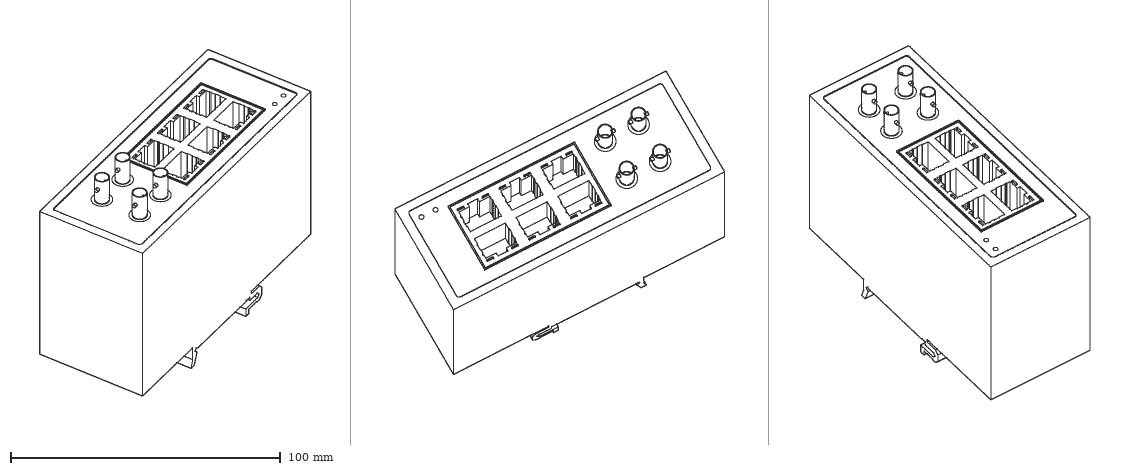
import cadquery as cq

length = 114.5
width = 45.6
height = 67.9

panel_width = 38.9
panel_length = 107.2
panel_thickness = 2.3
panel_recess = 0.5
panel_corner_radius = 1.1

block_width = 28.6
block_length = 53.5
block_centre_y = 12.7
rim_wall = 0.6
rim_rise = 0.3
block_depth = 18.3
socket_depth = 16.0
socket_rows = 3
socket_pitch = 17.6
socket_inner_x = 1.6
socket_outer_x = 10.4
socket_length = 13.0
key_outer_x = 11.8
key_length = 4.2
light_slot_width = 0.7
light_slot_length = 2.6
light_slot_depth = 1.1
guide_depth = 0.2
guide_spans_x = [(4.1, 6.4), (8.2, 8.9)]

connector_xs = [-7.5, 9.2]
connector_ys = [-24.2, -38.2]
boss_diameter = 8.0
barrel_diameter = 5.6
barrel_bore = 5.0
barrel_rise = 10.2
lug_diameter = 1.4
lug_span = boss_diameter
lug_rise = 6.3

lamp_x = 15.3
lamp_ys = [50.0, 44.1]
lamp_diameter = 1.8
lamp_height = 0.3

clip_depth = 9.4
neck_y = 17.0
hook_top_depth = 1.1
hook_bottom_depth = 7.7
hook_end_y = 23.8
hook_chamfer = 1.5
hook_step_y = 20.5
lip_bottom_depth = 7.3
foot_outer_y = 15.1
foot_inner_y = 12.9
slot_top_depth = 3.7
slot_bottom_depth = 5.8
slot_tip_y = 22.0
slot_shoulder_y = 21.1
slot_mouth_y = 15.8
seat_depth = 2.4
seat_step_y = 13.6
seat_step_depth = 2.2
tail_y = -23.1
tail_bend_depth = 5.6
tail_tip_depth = 9.0
tail_tip_inner_y = -22.0
tail_tip_outer_y = -24.3
relief_corners = [(-19.8, -seat_depth), (-20.5, -1.8), (-21.4, -2.9), (-20.2, -4.0)]

connector_places = [(x, y) for x in connector_xs for y in connector_ys]
barrel_top = height + barrel_rise
panel_top = height - panel_recess
panel_floor = panel_top - panel_thickness


def centred_box(size_x, size_y, z_bottom, z_top, centre_x=0.0, centre_y=0.0):
    return (
        cq.Workplane("XY")
        .box(size_x, size_y, z_top - z_bottom, centered=(True, True, False))
        .translate((centre_x, centre_y, z_bottom))
    )


def span_box(x_near, x_far, size_y, centre_y, depth):
    """A cutter between two x values, going down from the panel face."""
    return centred_box(x_far - x_near, size_y, panel_top - depth, panel_top, (x_near + x_far) / 2, centre_y)


def make_panel_blank(z_top):
    """Rounded plate from the recess floor up to z_top."""
    blank = centred_box(panel_width, panel_length, panel_floor, z_top)
    return blank.edges("|Z").fillet(panel_corner_radius)


def make_block_blank():
    """Block that fills the rectangular opening of the panel and stands just above it."""
    return centred_box(
        block_width,
        block_length,
        panel_top - block_depth,
        panel_top + rim_rise,
        centre_y=block_centre_y,
    )


def make_clip():
    """Hook, rail seat and bent tail as one profile across the full width."""
    hook = [
        (neck_y, 0.0),
        (neck_y, -hook_top_depth),
        (hook_end_y - hook_chamfer, -hook_top_depth),
        (hook_end_y, -hook_top_depth - hook_chamfer),
        (hook_end_y, -hook_bottom_depth + hook_chamfer),
        (hook_end_y - hook_chamfer, -hook_bottom_depth),
        (hook_step_y, -hook_bottom_depth),
        (hook_step_y, -lip_bottom_depth),
        (foot_outer_y, -lip_bottom_depth),
        (foot_outer_y, -clip_depth),
        (foot_inner_y, -clip_depth),
        (foot_inner_y, -slot_bottom_depth),
    ]
    slot = [
        (slot_shoulder_y, -slot_bottom_depth),
        (slot_tip_y, -(slot_top_depth + slot_bottom_depth) / 2),
        (slot_shoulder_y, -slot_top_depth),
        (slot_mouth_y, -slot_top_depth),
        (slot_mouth_y, -seat_step_depth),
        (seat_step_y, -seat_step_depth),
        (seat_step_y, -seat_depth),
    ]
    tail = [
        (tail_tip_inner_y, -tail_tip_depth),
        (tail_tip_outer_y, -tail_tip_depth),
        (tail_y, -tail_bend_depth),
        (tail_y, 0.0),
    ]
    profile = hook + slot + relief_corners + tail
    return cq.Workplane("YZ").polyline(profile).close().extrude(width / 2, both=True)


def vertical_cylinder(diameter, x, y, z_bottom, z_top):
    return cq.Workplane("XY", origin=(x, y, z_bottom)).circle(diameter / 2).extrude(z_top - z_bottom)


def make_connector_boss(x, y):
    """Round boss that fills a hole in the panel, flush with the panel face."""
    return vertical_cylinder(boss_diameter, x, y, panel_floor, panel_top)


def make_connector(x, y):
    """Hollow barrel with two opposite locking lugs, standing on its boss."""
    barrel = vertical_cylinder(barrel_diameter, x, y, panel_top, barrel_top)
    lugs = (
        cq.Workplane("XZ", origin=(x, y, height + lug_rise))
        .circle(lug_diameter / 2)
        .extrude(lug_span / 2, both=True)
    )
    bore = vertical_cylinder(barrel_bore, x, y, panel_top, barrel_top)
    return barrel.union(lugs).cut(bore).union(make_connector_boss(x, y))


def make_housing():
    body = centred_box(width, length, 0.0, height).union(make_clip())
    body = body.cut(make_panel_blank(height)).cut(make_block_blank())
    for x, y in connector_places:
        body = body.union(make_connector(x, y))
    return body


def make_lamp(y):
    """A lamp domed above the panel face, with a stem through the panel thickness."""
    radius = lamp_diameter / 2
    sphere_radius = (radius**2 + lamp_height**2) / (2 * lamp_height)
    sphere_centre_z = panel_top + lamp_height - sphere_radius
    sphere = cq.Workplane("XY").sphere(sphere_radius).translate((lamp_x, y, sphere_centre_z))
    stem = cq.Workplane("XY", origin=(lamp_x, y, panel_floor)).circle(radius)
    return stem.extrude(panel_thickness + lamp_height).intersect(sphere)


def make_panel():
    panel = make_panel_blank(panel_top).cut(make_block_blank())
    for x, y in connector_places:
        panel = panel.cut(make_connector_boss(x, y))
    for y in lamp_ys:
        panel = panel.union(make_lamp(y))
    return panel


def make_socket(y):
    """Cutter for one socket of the +X column."""
    socket = span_box(socket_inner_x, socket_outer_x, socket_length, y, socket_depth)
    socket = socket.union(span_box(socket_inner_x, key_outer_x, key_length, y, socket_depth))
    for x_near, x_far in guide_spans_x:
        socket = socket.union(span_box(x_near, x_far, socket_length + 2 * guide_depth, y, socket_depth))
    for side in (-1, 1):
        slot_y = y + side * (socket_length - light_slot_length) / 2
        slot_inner_x = key_outer_x - light_slot_width
        slot = span_box(slot_inner_x, key_outer_x, light_slot_length, slot_y, light_slot_depth)
        socket = socket.union(slot)
    return socket


def make_jack_block():
    face_recess = centred_box(
        block_width - 2 * rim_wall,
        block_length - 2 * rim_wall,
        panel_top,
        panel_top + rim_rise,
        centre_y=block_centre_y,
    )
    block = make_block_blank().cut(face_recess)
    for row in range(socket_rows):
        y = block_centre_y + (row - (socket_rows - 1) / 2) * socket_pitch
        socket = make_socket(y)
        block = block.cut(socket).cut(socket.mirror("YZ"))
    return block


housing = make_housing()
panel = make_panel()
jack_block = make_jack_block()

result = cq.Compound.makeCompound([housing.val(), panel.val(), jack_block.val()])